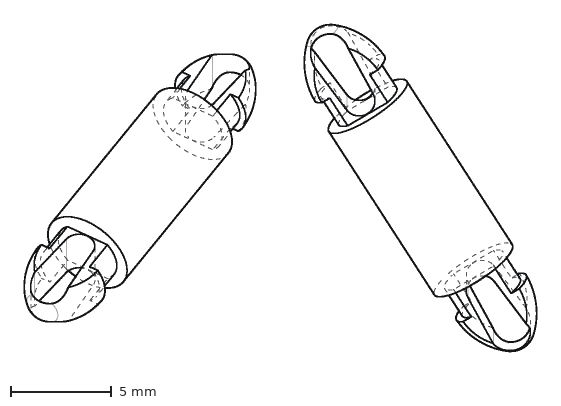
import cadquery as cq
import math

total_length = 19.44
sleeve_length = 10.0
sleeve_radius = 2.304
clip_length = (total_length - sleeve_length) / 2

stem_radius = 1.71
stem_length = 1.7
flat_thickness = 2.5
head_radius = 2.06
head_middle_radius = 1.6
head_middle_height = 3.4
tip_rim_radius = 0.904
tip_height = 0.4

slot_floor = 0.02
slot_tip_wall = 0.21
slot_inner_radius = 0.78
slot_outer_radius = 0.97


def make_sleeve():
    """Plain solid spacer between the two clips."""
    return (
        cq.Workplane("XZ")
        .circle(sleeve_radius)
        .extrude(sleeve_length)
        .translate((0, sleeve_length / 2, 0))
    )


def make_clip_blank():
    """Stem and barbed head turned around Y, with the base at Y = 0."""
    tip_rim_height = clip_length - tip_height
    tip_radius = (tip_rim_radius**2 + tip_height**2) / (2 * tip_height)
    tip_half_angle = math.asin(tip_rim_radius / tip_radius) / 2
    tip_middle = (
        tip_radius * math.sin(tip_half_angle),
        clip_length - tip_radius * (1 - math.cos(tip_half_angle)),
    )
    return (
        cq.Workplane("XY")
        .lineTo(stem_radius, 0)
        .lineTo(stem_radius, stem_length)
        .lineTo(head_radius, stem_length)
        .threePointArc((head_middle_radius, head_middle_height), (tip_rim_radius, tip_rim_height))
        .threePointArc(tip_middle, (0, clip_length))
        .close()
        .revolve(360, (0, 0, 0), (0, 1, 0))
    )


def make_slot():
    """Two round ends joined by their common tangents, running through along Z."""
    inner_center = slot_floor + slot_inner_radius
    outer_center = clip_length - slot_tip_wall - slot_outer_radius
    taper = math.asin((slot_outer_radius - slot_inner_radius) / (outer_center - inner_center))
    inner_x = slot_inner_radius * math.cos(taper)
    inner_y = inner_center - slot_inner_radius * math.sin(taper)
    outer_x = slot_outer_radius * math.cos(taper)
    outer_y = outer_center - slot_outer_radius * math.sin(taper)
    return (
        cq.Workplane("XY")
        .moveTo(inner_x, inner_y)
        .lineTo(outer_x, outer_y)
        .threePointArc((0, outer_center + slot_outer_radius), (-outer_x, outer_y))
        .lineTo(-inner_x, inner_y)
        .threePointArc((0, slot_floor), (inner_x, inner_y))
        .close()
        .extrude(flat_thickness, both=True)
    )


def make_clip():
    """Flattened and slotted snap-in clip, pointing along +Y."""
    flats = cq.Workplane("XY").box(
        2 * head_radius, clip_length, flat_thickness, centered=(True, False, True)
    )
    return make_clip_blank().intersect(flats).cut(make_slot())


sleeve = make_sleeve()

clips = []
for turn in (0, 180):
    clip = make_clip().translate((0, sleeve_length / 2, 0)).rotate((0, 0, 0), (0, 0, 1), turn)
    clips.append(clip.solids().val())

result = cq.Compound.makeCompound([sleeve.val(), *clips])